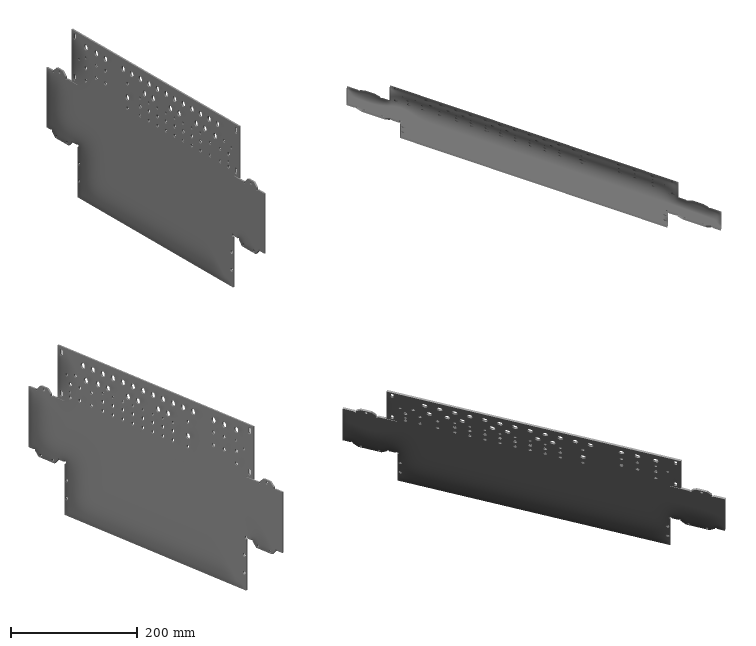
import cadquery as cq

thickness = 3.05
length = 626.0
height = 282.0
top_z = height / 2

band_top = 51.0
band_bottom = -52.0

upper_half_width = 241.0
lower_half_width = 223.5

slit_height = 1.0
slit_inner_x = lower_half_width

top_tab_x = 275.0
top_tab_base = 33.0
top_tab_end = 17.0
top_tab_reach = 9.5
top_tab_wall = 2.5
bottom_tab_x = 268.5
bottom_tab_base = 56.5
bottom_tab_end = 39.0
bottom_tab_reach = 9.5
bottom_tab_wall = 1.0

relief_width = 3.0
relief_depth = 2.0
corner_relief_diameter = 5.5

large = 10.0
medium = 7.0
small = 6.0
tiny = 5.0
tab_hole = tiny

column_count = 12
first_column_x = -92.5
last_column_x = 179.0
column_pitch = (last_column_x - first_column_x) / (column_count - 1)

row_1 = 123.5
row_2 = 102.5
row_3 = 91.0
row_4 = 76.5
row_5 = 61.0

slot_x = 232.0
slot_width = 5.5
slot_length = 11.0
slot_heights = [131.0, 61.5]


def column_x(index):
    """X of a main column; half indices lie midway between two columns."""
    return first_column_x + index * column_pitch


def back_plane():
    """Workplane on the +Y face of the sheet; extruding goes toward -Y."""
    return cq.Workplane("XZ", origin=(0, thickness / 2, 0))


def block(x_min, x_max, z_min, z_max):
    """Rectangular piece of the sheet."""
    return (
        back_plane()
        .center((x_min + x_max) / 2, (z_min + z_max) / 2)
        .rect(x_max - x_min, z_max - z_min)
        .extrude(thickness)
    )


def discs(points, diameter):
    """Round cutters through the sheet."""
    return back_plane().pushPoints(points).circle(diameter / 2).extrude(thickness)


def tab(center_x, root_z, direction, base, end, reach, wall):
    """Tab growing from the band edge at root_z, upward for direction 1 and downward for -1."""
    wall_z = root_z + direction * wall
    end_z = root_z + direction * reach
    return (
        back_plane()
        .moveTo(center_x - base / 2, 0)
        .lineTo(center_x - base / 2, wall_z)
        .lineTo(center_x - end / 2, end_z)
        .lineTo(center_x + end / 2, end_z)
        .lineTo(center_x + base / 2, wall_z)
        .lineTo(center_x + base / 2, 0)
        .close()
        .extrude(thickness)
    )


def tab_reliefs(center_x, root_z, base):
    """Pair of shallow notches in the band edge, one on each side of a tab."""
    inner = base / 2
    outer = inner + relief_width
    z_min = root_z - relief_depth
    z_max = root_z + relief_depth
    left = block(center_x - outer, center_x - inner, z_min, z_max)
    right = block(center_x + inner, center_x + outer, z_min, z_max)
    return left.union(right)


panel = block(-length / 2, length / 2, band_bottom, band_top)
panel = panel.union(block(-upper_half_width, upper_half_width, 0, top_z))
panel = panel.union(block(-lower_half_width, lower_half_width, -top_z, 0))

for side in (-1, 1):
    slit_ends = sorted([side * slit_inner_x, side * upper_half_width])
    panel = panel.cut(block(*slit_ends, band_top, band_top + slit_height))
    panel = panel.cut(discs([(side * lower_half_width, band_bottom)], corner_relief_diameter))

    top_x = side * top_tab_x
    panel = panel.union(tab(top_x, band_top, 1, top_tab_base, top_tab_end, top_tab_reach, top_tab_wall))
    panel = panel.cut(tab_reliefs(top_x, band_top, top_tab_base))

    bottom_x = side * bottom_tab_x
    panel = panel.union(
        tab(bottom_x, band_bottom, -1, bottom_tab_base, bottom_tab_end, bottom_tab_reach, bottom_tab_wall)
    )
    panel = panel.cut(tab_reliefs(bottom_x, band_bottom, bottom_tab_base))

second_row_columns = [2.5, 3.5, 5.5, 6.5, 8.5, 9.5]
field_columns = [column_x(i) for i in range(2, 10)]
large_points = [(column_x(i), row_1) for i in range(column_count)]
large_points += [(column_x(i), row_2) for i in second_row_columns]
tiny_points = [(x, row_3) for x in field_columns]
medium_points = [(x, row_4) for x in field_columns]
small_points = [(x, row_5) for x in field_columns]

lone_column_x = column_x(0.5)
lone_large_z = 79.0
large_points.append((lone_column_x, lone_large_z))
small_points += [(lone_column_x, z) for z in (row_2, row_5)]

outer_column_x = -200.0
outer_tiny_z = 105.0
outer_medium_z = 87.5
outer_small_z = 66.5
pair_columns = [-169.5, -143.5]
pair_lower_z = 81.5
large_points += [(x, row_1) for x in [outer_column_x] + pair_columns]
small_points += [(x, row_2) for x in pair_columns]
medium_points += [(x, pair_lower_z) for x in pair_columns]
tiny_points.append((outer_column_x, outer_tiny_z))
medium_points.append((outer_column_x, outer_medium_z))
small_points.append((outer_column_x, outer_small_z))

right_large_center = (171.5, 100.0)
right_small_center = (198.0, 101.0)
square_columns = [158.0, 186.5]
square_rows = [83.0, 62.0]
right_column_x = 210.5
right_medium_z = 82.5
right_tiny_z = 69.5
large_points.append(right_large_center)
small_points.append(right_small_center)
small_points += [(x, z) for x in square_columns for z in square_rows]
medium_points.append((right_column_x, right_medium_z))
tiny_points.append((right_column_x, right_tiny_z))
small_points.append((right_column_x, row_5))

edge_hole_x = 219.0
upper_edge_hole_z = 96.5
lower_edge_hole_heights = [-82.0, -112.0]
top_tab_hole_z = 55.0
bottom_tab_hole_z = -57.5
bottom_tab_hole_offset = 15.0
tab_hole_points = []
for side in (-1, 1):
    tiny_points.append((side * edge_hole_x, upper_edge_hole_z))
    small_points += [(side * edge_hole_x, z) for z in lower_edge_hole_heights]
    tab_hole_points.append((side * top_tab_x, top_tab_hole_z))
    for offset in (-bottom_tab_hole_offset, bottom_tab_hole_offset):
        tab_hole_points.append((side * bottom_tab_x + offset, bottom_tab_hole_z))

hole_groups = [
    (large_points, large),
    (medium_points, medium),
    (small_points, small),
    (tiny_points, tiny),
    (tab_hole_points, tab_hole),
]
for points, diameter in hole_groups:
    panel = panel.cut(discs(points, diameter))

slot_points = [(side * slot_x, z) for side in (-1, 1) for z in slot_heights]
slots = (
    back_plane()
    .pushPoints(slot_points)
    .slot2D(slot_length, slot_width, 90)
    .extrude(thickness)
)
result = panel.cut(slots)